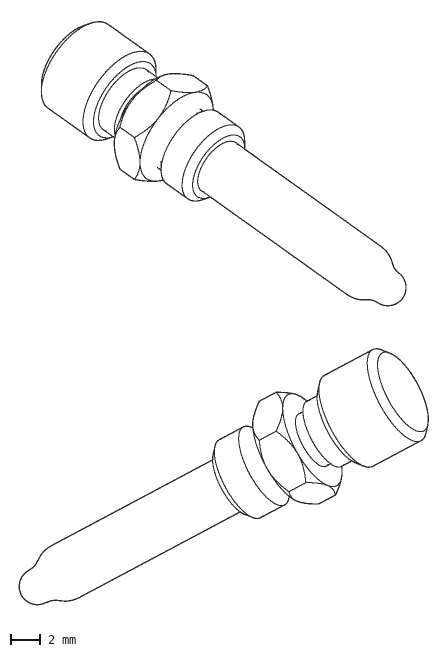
import cadquery as cq
import math

TOTAL_LENGTH = 31.5
CHAMFER = 0.5

KNOB_DIAMETER = 7.0
KNOB_LENGTH = 5.0
NECK_DIAMETER = 5.0
NECK_LENGTH = 1.5
SHAFT_DIAMETER = 4.0
TIP_DIAMETER = 2.5
TAPER_LENGTH = 2.25

HEX_START = 7.5
HEX_THICKNESS = 2.5
HEX_ACROSS_FLATS = 7.0
GROOVE_DIAMETER = 4.9
GROOVE_FILLET = 0.25
COLLAR_DIAMETER = 6.0
COLLAR_START = 11.5
COLLAR_END = 14.02

HEX_ACROSS_CORNERS = HEX_ACROSS_FLATS / math.cos(math.radians(30))
HEX_END = HEX_START + HEX_THICKNESS


def revolve_about_x(profile):
    """Revolve a closed XY half-profile about the X axis."""
    return profile.revolve(360, (0, 0, 0), (1, 0, 0))


def make_pin():
    """Chamfered knob, neck, long shaft and a tapered, rounded tip."""
    knob_radius = KNOB_DIAMETER / 2
    neck_radius = NECK_DIAMETER / 2
    shaft_radius = SHAFT_DIAMETER / 2
    tip_radius = TIP_DIAMETER / 2
    neck_end = KNOB_LENGTH + NECK_LENGTH
    ball_center = TOTAL_LENGTH - tip_radius
    taper_start = ball_center - TAPER_LENGTH
    taper_middle = (taper_start + ball_center) / 2
    middle_radius = (shaft_radius + tip_radius) / 2
    ball_offset = tip_radius * math.sqrt(0.5)

    profile = (
        cq.Workplane("XY")
        .lineTo(0, knob_radius - CHAMFER)
        .lineTo(CHAMFER, knob_radius)
        .lineTo(KNOB_LENGTH - CHAMFER, knob_radius)
        .lineTo(KNOB_LENGTH, knob_radius - CHAMFER)
        .lineTo(KNOB_LENGTH, neck_radius)
        .lineTo(neck_end, neck_radius)
        .lineTo(neck_end, shaft_radius)
        .lineTo(taper_start, shaft_radius)
        .tangentArcPoint((taper_middle, middle_radius), relative=False)
        .tangentArcPoint((ball_center, tip_radius), relative=False)
        .threePointArc((ball_center + ball_offset, ball_offset), (TOTAL_LENGTH, 0))
        .close()
    )
    return revolve_about_x(profile)


def make_hexagon():
    """Hexagon with corners on Z, its corners turned down at 45 degrees on both faces."""
    flat_radius = HEX_ACROSS_FLATS / 2
    corner_radius = HEX_ACROSS_CORNERS / 2
    corner_chamfer = corner_radius - flat_radius
    prism = (
        cq.Workplane("YZ", origin=(HEX_START, 0, 0))
        .transformed(rotate=(0, 0, 90))
        .polygon(6, HEX_ACROSS_CORNERS)
        .extrude(HEX_THICKNESS)
    )
    turned_blank = (
        cq.Workplane("YZ", origin=(HEX_START, 0, 0))
        .circle(corner_radius)
        .extrude(HEX_THICKNESS)
        .edges("%CIRCLE")
        .chamfer(corner_chamfer)
    )
    return prism.intersect(turned_blank)


def make_collar():
    """Filleted undercut behind the hexagon, leading into the chamfered collar."""
    groove_radius = GROOVE_DIAMETER / 2
    collar_radius = COLLAR_DIAMETER / 2
    slope_radius = groove_radius + GROOVE_FILLET * (1 - math.sqrt(0.5))
    slope_start = COLLAR_START - (collar_radius - slope_radius)
    floor_end = slope_start - GROOVE_FILLET * math.sqrt(0.5)
    fillet_inset = GROOVE_FILLET * (1 - math.sqrt(0.5))

    profile = (
        cq.Workplane("XY")
        .moveTo(HEX_END, 0)
        .lineTo(HEX_END, groove_radius + GROOVE_FILLET)
        .threePointArc(
            (HEX_END + fillet_inset, groove_radius + fillet_inset),
            (HEX_END + GROOVE_FILLET, groove_radius),
        )
        .lineTo(floor_end, groove_radius)
        .tangentArcPoint((slope_start, slope_radius), relative=False)
        .lineTo(COLLAR_START, collar_radius)
        .lineTo(COLLAR_END - CHAMFER, collar_radius)
        .lineTo(COLLAR_END, collar_radius - CHAMFER)
        .lineTo(COLLAR_END, 0)
        .close()
    )
    return revolve_about_x(profile)


def make_housing():
    """Hexagon and collar in one piece, bored through to fit the shaft."""
    bore = (
        cq.Workplane("YZ", origin=(HEX_START, 0, 0))
        .circle(SHAFT_DIAMETER / 2)
        .extrude(COLLAR_END - HEX_START)
    )
    return make_hexagon().union(make_collar()).cut(bore)


pin = make_pin()
housing = make_housing()

result = cq.Compound.makeCompound([pin.val(), *housing.solids().vals()])